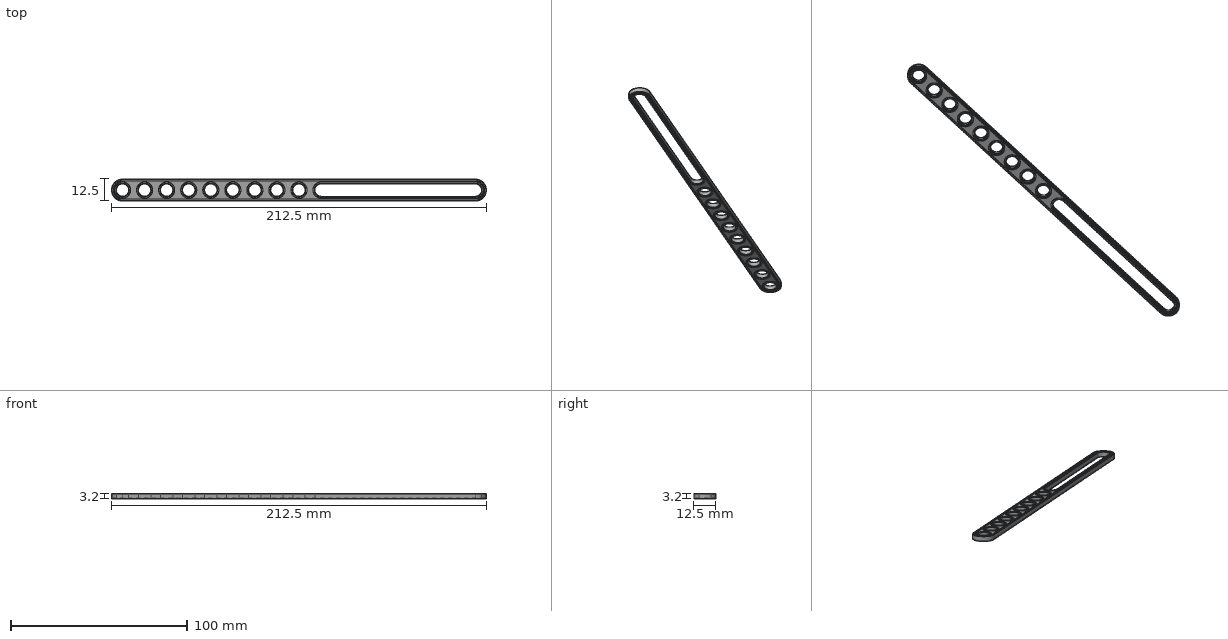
import cadquery as cq

length = 212.5
modules = 17
thickness = 3.2
bore_diameter = 7.0
collar_width = 1.0
rim_width = 1.0
recess_depth = 0.5
edge_chamfer = 0.32

hole_count = 9
slot_first_module = 9
slot_last_module = 16

module = length / modules
collar_diameter = bore_diameter + 2 * collar_width
recess_width = module - 2 * rim_width

openings = [(hole, hole) for hole in range(hole_count)]
openings.append((slot_first_module, slot_last_module))


def module_center(index):
    """X position of the middle of a module; the bar is centred on the origin."""
    return (index + 0.5) * module - length / 2


def round_ended(first_module, last_module, width, height):
    """Upright solid around two module centres: a cylinder if they coincide, else a slot shape."""
    start = module_center(first_module)
    end = module_center(last_module)
    base = cq.Workplane("XY").center((start + end) / 2, 0)
    if first_module == last_module:
        return base.circle(width / 2).extrude(height)
    return base.slot2D(end - start + width, width).extrude(height)


def make_plate():
    """Round-ended bar with all its openings, every edge of both faces chamfered."""
    plate = round_ended(0, modules - 1, module, thickness)
    for first, last in openings:
        plate = plate.cut(round_ended(first, last, bore_diameter, thickness))
    return plate.faces("<Z or >Z").edges().chamfer(edge_chamfer)


def make_recess():
    """Shallow pocket inside the rim that spares the collar around every opening."""
    pocket = round_ended(0, modules - 1, recess_width, recess_depth)
    for first, last in openings:
        pocket = pocket.cut(round_ended(first, last, collar_diameter, recess_depth))
    return pocket


bottom_recess = make_recess()
top_recess = bottom_recess.translate((0, 0, thickness - recess_depth))
result = make_plate().cut(bottom_recess).cut(top_recess)